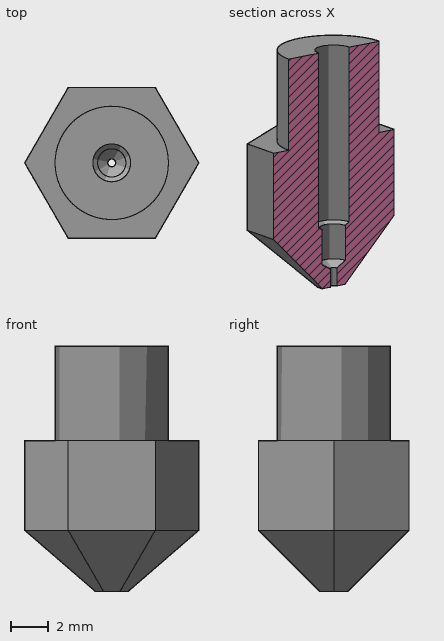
import cadquery as cq
import math

total_height = 13.0
hex_sides = 6
across_flats = 8.0
shank_diameter = 6.0
shank_height = 5.0
tip_across_flats = 1.5

tip_height = (across_flats - tip_across_flats) / 2
shank_base = total_height - shank_height
hex_height = shank_base - tip_height

bore_diameter = 2.0
throat_diameter = 1.5
orifice_diameter = 0.4
orifice_length = 1.0
drill_point_angle = 118
bore_floor = tip_height


def corner_diameter(flats):
    """Across-corners size of a hexagon with the given across-flats size."""
    return flats / math.cos(math.pi / hex_sides)


def make_body():
    """Hexagonal nut with a round shank above and a pyramidal tip below."""
    tip = (
        cq.Workplane("XY")
        .polygon(hex_sides, corner_diameter(tip_across_flats))
        .workplane(offset=tip_height)
        .polygon(hex_sides, corner_diameter(across_flats))
        .loft(ruled=True)
    )
    nut = (
        cq.Workplane("XY", origin=(0, 0, tip_height))
        .polygon(hex_sides, corner_diameter(across_flats))
        .extrude(hex_height)
    )
    shank = (
        cq.Workplane("XY", origin=(0, 0, shank_base))
        .circle(shank_diameter / 2)
        .extrude(shank_height)
    )
    return tip.union(nut).union(shank)


def drill_cone_height(large_diameter, small_diameter):
    """Height of a drill-point cone narrowing between two diameters."""
    half_angle = math.radians(drill_point_angle / 2)
    return (large_diameter - small_diameter) / 2 / math.tan(half_angle)


def make_bore():
    """Stepped passage from the shank's top face down through the tip."""
    throat_wall_base = orifice_length + drill_cone_height(throat_diameter, orifice_diameter)
    bore_wall_base = bore_floor + drill_cone_height(bore_diameter, throat_diameter)
    profile = [
        (0, 0),
        (orifice_diameter / 2, 0),
        (orifice_diameter / 2, orifice_length),
        (throat_diameter / 2, throat_wall_base),
        (throat_diameter / 2, bore_floor),
        (bore_diameter / 2, bore_wall_base),
        (bore_diameter / 2, total_height),
        (0, total_height),
    ]
    return cq.Workplane("XZ").polyline(profile).close().revolve(360, (0, 0), (0, 1))


result = make_body().cut(make_bore())